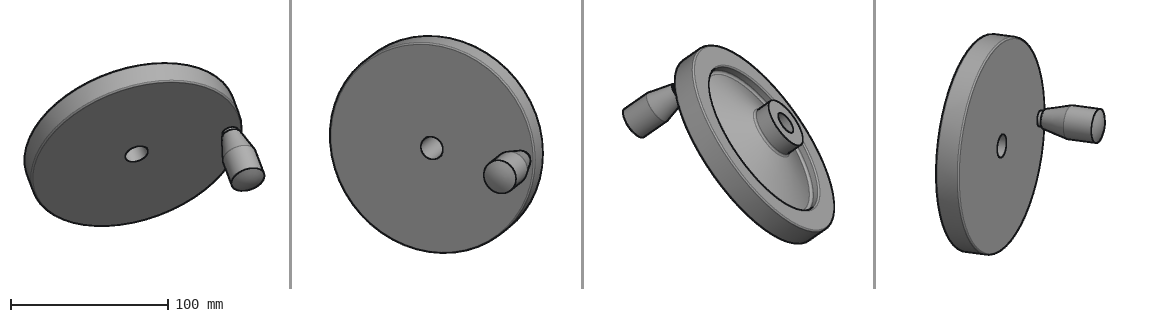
import cadquery as cq
import math


rim_diameter = 140.0
rim_front_x = 18.0
rim_width = 16.0
rim_edge_fillet = 1.0
rim_back_x = rim_front_x + rim_width

hub_diameter = 34.0
bore_diameter = 15.0
hub_root_fillet = 1.6

recess_diameter = 107.87
recess_floor_fillet = 1.6
web_start_x = 11.5
web_angle = 20.0
web_depth = (recess_diameter - hub_diameter) / 2 * math.tan(math.radians(web_angle))
web_end_x = web_start_x + web_depth

grip_offset_y = 62.0
neck_diameter = 10.56
neck_length = 3.0
grip_start_diameter = 13.0
grip_diameter = 22.0
grip_taper_length = 17.5
grip_straight_length = 19.5
grip_dome_height = 2.9


def fillet_circle(body, x, diameter, fillet_radius):
    """Round the circular edge of the given diameter lying in the plane at x."""
    tolerance = 0.01
    edges = body.edges("%CIRCLE").filter(
        lambda edge: abs(edge.Center().x - x) < tolerance
        and abs(edge.radius() - diameter / 2) < tolerance
    )
    return edges.fillet(fillet_radius)


def make_wheel():
    """Revolved rim, conical web and bored hub, with rounded edges."""
    profile = [
        (0, bore_diameter / 2),
        (0, hub_diameter / 2),
        (web_start_x, hub_diameter / 2),
        (web_end_x, recess_diameter / 2),
        (rim_front_x, recess_diameter / 2),
        (rim_front_x, rim_diameter / 2),
        (rim_back_x, rim_diameter / 2),
        (rim_back_x, bore_diameter / 2),
    ]
    wheel = cq.Workplane("XY").polyline(profile).close().revolve(360, (0, 0, 0), (1, 0, 0))
    wheel = fillet_circle(wheel, web_start_x, hub_diameter, hub_root_fillet)
    wheel = fillet_circle(wheel, web_end_x, recess_diameter, recess_floor_fillet)
    wheel = fillet_circle(wheel, rim_front_x, recess_diameter, rim_edge_fillet)
    wheel = fillet_circle(wheel, rim_front_x, rim_diameter, rim_edge_fillet)
    return fillet_circle(wheel, rim_back_x, rim_diameter, rim_edge_fillet)


def make_grip():
    """Revolved crank grip: neck, taper, straight barrel and domed end."""
    taper_start_x = rim_back_x + neck_length
    barrel_start_x = taper_start_x + grip_taper_length
    barrel_end_x = barrel_start_x + grip_straight_length
    tip_x = barrel_end_x + grip_dome_height

    grip_radius = grip_diameter / 2
    dome_radius = (grip_radius**2 + grip_dome_height**2) / (2 * grip_dome_height)
    dome_half_angle = math.asin(grip_radius / dome_radius) / 2
    dome_middle_x = tip_x - dome_radius * (1 - math.cos(dome_half_angle))
    dome_middle_radius = dome_radius * math.sin(dome_half_angle)

    neck_root_x = rim_back_x - rim_width / 2

    return (
        cq.Workplane("XY", origin=(0, grip_offset_y, 0))
        .moveTo(neck_root_x, 0)
        .lineTo(neck_root_x, neck_diameter / 2)
        .lineTo(taper_start_x, neck_diameter / 2)
        .lineTo(taper_start_x, grip_start_diameter / 2)
        .lineTo(barrel_start_x, grip_radius)
        .lineTo(barrel_end_x, grip_radius)
        .threePointArc((dome_middle_x, dome_middle_radius), (tip_x, 0))
        .close()
        .revolve(360, (0, 0, 0), (1, 0, 0))
    )


result = make_wheel().union(make_grip())